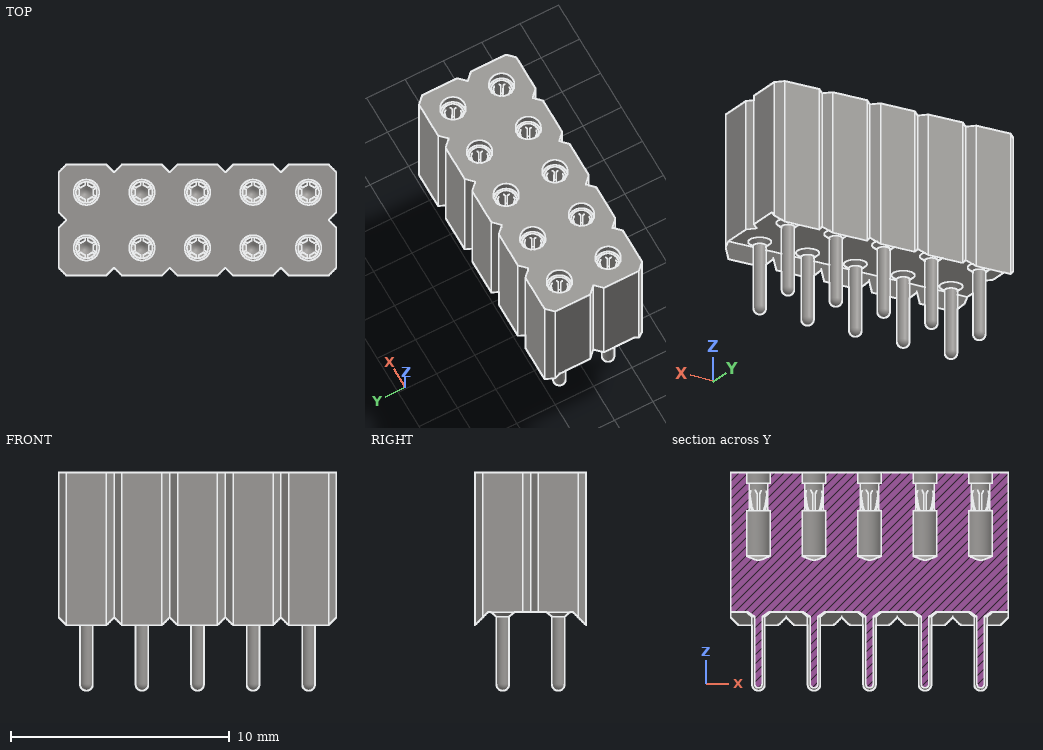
import cadquery as cq
import math

columns = 5
rows = 2
pitch = 2.54

length = columns * pitch
width = rows * pitch
housing_height = 7.0
sleeve_diameter = 1.83
notch_depth = (pitch - sleeve_diameter) / 2
recess_depth = 0.6

bore_diameter = 1.17
bore_depth = 3.81
drill_tip_height = bore_diameter / 2 * math.tan(math.radians(30))
sleeve_depth = 5.08
contact_depth = 0.5
contact_height = 1.27
contact_collar_height = 0.25
finger_count = 6
contact_entry = 0.97
contact_throat = 0.64
slot_width = 0.1

pin_diameter = 0.6
pin_radius = pin_diameter / 2
pin_length = 3.0
collar_diameter = 1.07
collar_height = 0.2


def make_housing():
    """Block with 45 degree notches at every pitch line and a recess along its underside."""
    block = cq.Workplane("XY").box(length, width, housing_height, centered=(True, True, False))

    column_lines = [(i - columns / 2) * pitch for i in range(columns + 1)]
    row_lines = [(j - rows / 2) * pitch for j in range(rows + 1)]
    notch_points = [(x, side * width / 2) for x in column_lines for side in (-1, 1)]
    notch_points += [(side * length / 2, y) for y in row_lines[1:-1] for side in (-1, 1)]
    notches = (
        cq.Workplane("XY")
        .pushPoints(notch_points)
        .polygon(4, 2 * notch_depth)
        .extrude(housing_height)
    )

    recess = (
        cq.Workplane("YZ")
        .moveTo(-width / 2, 0)
        .lineTo(width / 2, 0)
        .lineTo(width / 2 - recess_depth, recess_depth)
        .lineTo(recess_depth - width / 2, recess_depth)
        .close()
        .extrude(length / 2, both=True)
    )
    return block.cut(notches).cut(recess)


def make_contact():
    """Ring filling the bore: a round collar with flat fingers that lean inward below it."""
    top = housing_height - contact_depth
    finger_top = top - contact_collar_height
    finger_height = contact_height - contact_collar_height
    corner_ratio = 1 / math.cos(math.pi / finger_count)
    half_sector = 180 / finger_count
    ring = cq.Workplane("XY").workplane(offset=top).circle(bore_diameter / 2).extrude(-contact_height)
    round_opening = (
        cq.Workplane("XY").workplane(offset=top).circle(contact_entry / 2).extrude(-contact_height)
    )
    collar_opening = (
        cq.Workplane("XY").workplane(offset=top).circle(contact_entry / 2).extrude(-contact_collar_height)
    )
    finger_opening = (
        cq.Workplane("XY")
        .workplane(offset=finger_top)
        .transformed(rotate=(0, 0, half_sector))
        .polygon(finger_count, contact_entry * corner_ratio)
        .workplane(offset=-finger_height)
        .polygon(finger_count, contact_throat * corner_ratio)
        .loft(ruled=True)
    )
    contact = ring.cut(collar_opening).cut(finger_opening.intersect(round_opening))
    for i in range(finger_count // 2):
        slot = (
            cq.Workplane("XY")
            .workplane(offset=finger_top)
            .transformed(rotate=(0, 0, half_sector * (2 * i + 1)))
            .rect(contact_entry, slot_width)
            .extrude(-finger_height)
            .intersect(round_opening)
        )
        contact = contact.cut(slot)
    return contact


def make_terminal():
    """Sleeve with a drilled bore, its contact, and the round-tipped pin below."""
    sleeve_bottom = housing_height - sleeve_depth
    bore_bottom = housing_height - bore_depth
    tip_start = pin_radius - pin_length
    terminal = (
        cq.Workplane("XZ")
        .moveTo(0, bore_bottom - drill_tip_height)
        .lineTo(bore_diameter / 2, bore_bottom)
        .lineTo(bore_diameter / 2, housing_height)
        .lineTo(sleeve_diameter / 2, housing_height)
        .lineTo(sleeve_diameter / 2, sleeve_bottom)
        .lineTo(collar_diameter / 2, sleeve_bottom)
        .lineTo(collar_diameter / 2, recess_depth)
        .lineTo(pin_radius, recess_depth - collar_height)
        .lineTo(pin_radius, tip_start)
        .radiusArc((0, -pin_length), pin_radius)
        .close()
        .revolve(360, (0, 0, 0), (0, 1, 0))
    )
    return terminal.union(make_contact())


terminal_points = [
    ((i - (columns - 1) / 2) * pitch, (j - (rows - 1) / 2) * pitch)
    for i in range(columns)
    for j in range(rows)
]
sleeve_seats = (
    cq.Workplane("XY")
    .workplane(offset=housing_height)
    .pushPoints(terminal_points)
    .circle(sleeve_diameter / 2)
    .extrude(-sleeve_depth)
)

terminal = make_terminal()
result = make_housing().cut(sleeve_seats)
for x, y in terminal_points:
    result = result.union(terminal.translate((x, y, 0)), clean=False)